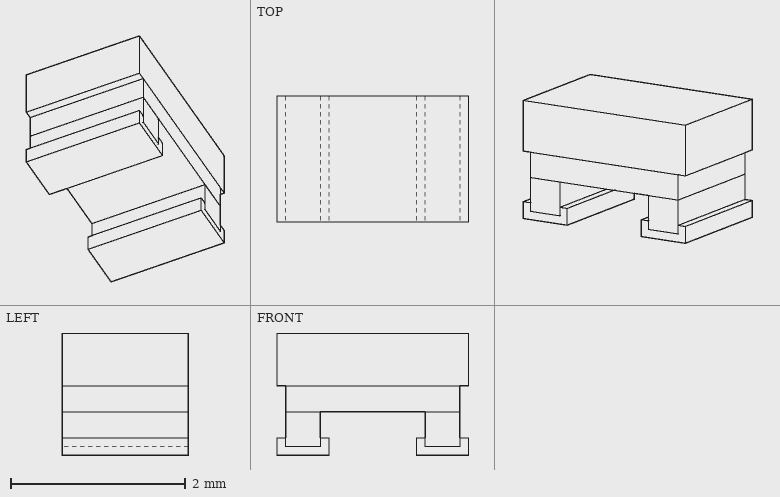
import cadquery as cq

length = 2.2
depth = 1.45
height = 1.4

cover_height = 0.6
bridge_height = 0.3

end_inset = 0.1
leg_width = 0.4

terminal_width = leg_width + 2 * end_inset
terminal_height = 0.2
channel_floor = 0.1

cover_bottom = height - cover_height
bridge_bottom = cover_bottom - bridge_height
leg_height = bridge_bottom - channel_floor

leg_offset = length / 2 - end_inset - leg_width / 2


def full_depth_block(width, block_height, center_x, bottom):
    """Block across the full depth, standing on the given level."""
    return (
        cq.Workplane("XY")
        .box(width, depth, block_height, centered=(True, True, False))
        .translate((center_x, 0, bottom))
    )


def make_cover():
    return full_depth_block(length, cover_height, 0, cover_bottom)


def make_bridge():
    return full_depth_block(length - 2 * end_inset, bridge_height, 0, bridge_bottom)


def make_leg(center_x):
    return full_depth_block(leg_width, leg_height, center_x, channel_floor)


def make_terminal(center_x):
    """Terminal with an open-ended channel that fits the foot of a leg."""
    block = full_depth_block(terminal_width, terminal_height, center_x, 0)
    return block.cut(make_leg(center_x)).solids()


cover = make_cover()
bridge = make_bridge()
legs = []
terminals = []
for side in (-1, 1):
    legs.append(make_leg(side * leg_offset).val())
    terminals.append(make_terminal(side * leg_offset).val())

result = cq.Compound.makeCompound([cover.val(), bridge.val(), *legs, *terminals])